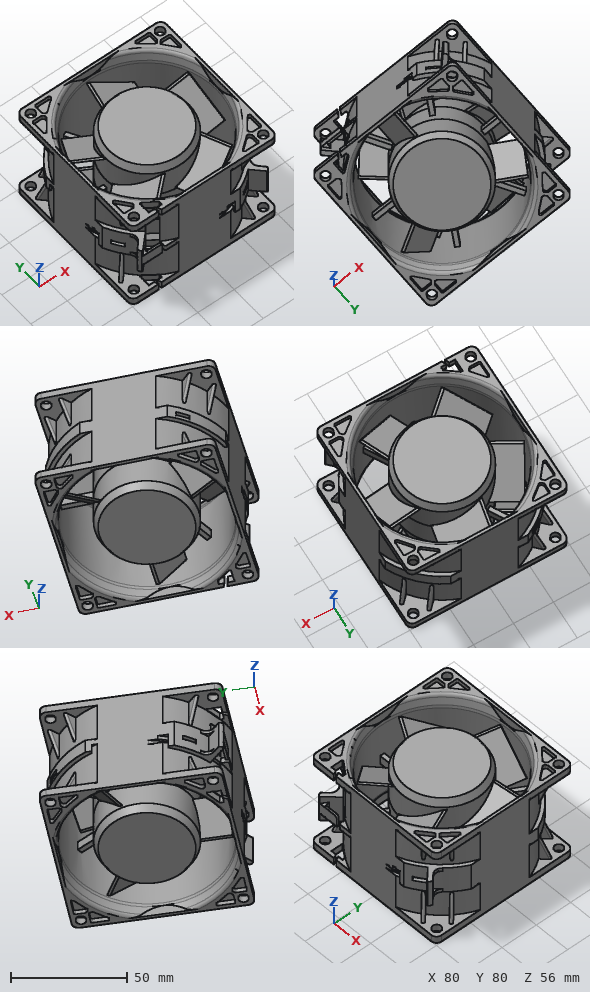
import cadquery as cq
import math


SIDE = 80.0
HEIGHT = 56.0
FLANGE = 4.0
CORNER_RADIUS = 3.1
HALF = SIDE / 2
TOP = HEIGHT / 2
FLANGE_Z = TOP - FLANGE
HOLE_OFFSET = 35.6
HOLE_DIAMETER = 4.6

BORE_RADIUS = 38.2
MOUTH_RADIUS = 41.6
THROAT_RADIUS = 39.5
THROAT_Z = 26.4
CONE_END_RADIUS = 38.4
CONE_END_Z = 22.8
BORE_END_Z = 21.2
DUCT_HALF_WIDTH = 38.4
WALL_RADIUS = 42.5

BAND_RADIUS = 44.5
WIDE_BAND_Z = (-7.4, 7.4)
NARROW_BAND_Z = (-4.2, 3.2)
JOINT_Z = -0.1
RECESS_END = 16.7
UPPER_RECESS_RADIUS = 41.8
LOWER_RECESS_RADIUS = 40.8
RECESS_STEP_Z = -2.2
RECESS_BOTTOM_Z = -4.6
RECESS_START = 4.0
TONGUE_END = 16.8
SLOT_WIDTH = 6.3
SLOT_DEPTH = 2.3
SLOT_Z = (RECESS_STEP_Z, JOINT_Z)
SLOT_TURN = 10.0

RIB_THICKNESS = 1.8
RIB_OFFSET = 6.1
RIB_REACH = 46.6
RIB_FOOT = 40.6
RIB_END_Z = 8.5

POCKET_DEPTH = 2.4
POCKET_ROUND = 0.6

STRUT_COUNT = 6
STRUT_WIDTH = 2.4
STRUT_HEIGHT = 4.8
STRUT_EMBED = 0.8
MOTOR_HEIGHT = 15.2

HUB_RADIUS = 23.0
HUB_TOP = 26.6
HUB_CHAMFER_RADIAL = 2.0
HUB_CHAMFER_AXIAL = 3.8
BLADE_TOP = 21.4
BLADE_BOTTOM = 8.7
BLADE_EDGE = 1.4
BLADE_ROOT = 16.0


def box_between(x, y, z):
    """Box spanning the (low, high) pairs x, y and z."""
    return (
        cq.Workplane("XY", origin=(0, 0, z[0]))
        .moveTo((x[0] + x[1]) / 2, (y[0] + y[1]) / 2)
        .rect(x[1] - x[0], y[1] - y[0])
        .extrude(z[1] - z[0])
    )


def cylinder_between(radius, z):
    return cq.Workplane("XY", origin=(0, 0, z[0])).circle(radius).extrude(z[1] - z[0])


def turned(shape, degrees):
    return shape.rotate((0, 0, 0), (0, 0, 1), degrees)


def with_mirror(shape):
    """The shape together with its mirror image below the mid-plane."""
    return shape.union(shape.mirror("XY"))


def flange():
    plate = box_between((-HALF, HALF), (-HALF, HALF), (FLANGE_Z, TOP)).edges("|Z").fillet(CORNER_RADIUS)
    holes = (
        cq.Workplane("XY", origin=(0, 0, FLANGE_Z))
        .rect(2 * HOLE_OFFSET, 2 * HOLE_OFFSET, forConstruction=True)
        .vertices()
        .circle(HOLE_DIAMETER / 2)
        .extrude(FLANGE)
    )
    return plate.cut(holes)


def square_column(radius, z):
    """Round column trimmed to the square outline of the frame."""
    return cylinder_between(radius, z).intersect(box_between((-HALF, HALF), (-HALF, HALF), z))


def corner_band(x_sign, y_sign, z):
    quarter = box_between(sorted((0, x_sign * HALF)), sorted((0, y_sign * HALF)), z)
    return cylinder_between(BAND_RADIUS, z).intersect(quarter)


def duct():
    """Bore with a rounded bell mouth at each end, trimmed by the side flats."""
    lip_bulge = math.sqrt(0.5)
    lip_middle = (
        MOUTH_RADIUS - lip_bulge * (MOUTH_RADIUS - THROAT_RADIUS),
        THROAT_Z + lip_bulge * (TOP - THROAT_Z),
    )
    upper_half = (
        cq.Workplane("XZ")
        .moveTo(0, 0)
        .lineTo(BORE_RADIUS, 0)
        .lineTo(BORE_RADIUS, BORE_END_Z)
        .lineTo(CONE_END_RADIUS, CONE_END_Z)
        .lineTo(THROAT_RADIUS, THROAT_Z)
        .threePointArc(lip_middle, (MOUTH_RADIUS, TOP))
        .lineTo(0, TOP)
        .close()
        .revolve(360, (0, 0, 0), (0, 1, 0))
    )
    flats = (-DUCT_HALF_WIDTH, DUCT_HALF_WIDTH)
    return with_mirror(upper_half).intersect(box_between(flats, flats, (-TOP, TOP)))


def ribs(corner_angle, sides):
    """Wedge ribs parallel to a corner diagonal, under the upper and over the lower flange."""
    wedge = (
        cq.Workplane("XZ", origin=(0, RIB_THICKNESS / 2, 0))
        .polyline([
            (BORE_RADIUS, FLANGE_Z),
            (RIB_REACH, FLANGE_Z),
            (RIB_FOOT, RIB_END_Z),
            (BORE_RADIUS, RIB_END_Z),
        ])
        .close()
        .extrude(RIB_THICKNESS)
    )
    foot = cq.Vector(RIB_FOOT, 0, RIB_END_Z)
    slope = cq.Vector(RIB_REACH, 0, FLANGE_Z) - foot
    length = slope.Length + RIB_THICKNESS / 2
    rod = cq.Workplane(cq.Solid.makeCylinder(RIB_THICKNESS / 2, length, foot, slope))
    rib = wedge.union(rod)
    placed = [turned(with_mirror(rib).translate((0, side * RIB_OFFSET, 0)), corner_angle) for side in sides]
    joined = placed[0]
    for other in placed[1:]:
        joined = joined.union(other)
    return joined


def flange_pocket():
    """Blind pocket in the upper flange, beside the +X +Y mounting hole."""
    outline = [(31.7, 37.9), (23.4, 37.9), (23.4, 36.6), (29.6, 31.7), (30.7, 31.7), (31.7, 32.8)]
    return (
        cq.Workplane("XY", origin=(0, 0, TOP - POCKET_DEPTH))
        .polyline(outline)
        .close()
        .extrude(POCKET_DEPTH)
        .edges("|Z")
        .fillet(POCKET_ROUND)
    )


def snap_recess():
    """Two-step recess in the -Y side, next to the +X -Y corner band."""
    span = (RECESS_START, RECESS_END)
    depth = (-SIDE, 0)
    upper_z = (RECESS_STEP_Z, JOINT_Z)
    lower_z = (RECESS_BOTTOM_Z, RECESS_STEP_Z)
    foot_z = (WIDE_BAND_Z[0], RECESS_BOTTOM_Z)
    upper = box_between(span, depth, upper_z).cut(cylinder_between(UPPER_RECESS_RADIUS, upper_z))
    lower = box_between(span, depth, lower_z).cut(cylinder_between(LOWER_RECESS_RADIUS, lower_z))
    foot = box_between(span, depth, foot_z).cut(cylinder_between(WALL_RADIUS, foot_z))
    return upper.union(lower).union(foot)


def band_slot(angle):
    """Radial slot in a corner band."""
    slot = box_between((BAND_RADIUS - SLOT_DEPTH, SIDE), (-SLOT_WIDTH / 2, SLOT_WIDTH / 2), SLOT_Z)
    return turned(slot, angle)


ARM_OUTER_SHIFT = 2.4
ARM_INNER_SHIFT = 5.8
ARM_ROOT_Y = -29.6
ARM_TIP_FLAT = 0.5
ARM_TIP_BULGE = 0.2
ARM_TIP_Y = -38.1


def latch_arm():
    tip_x = ARM_INNER_SHIFT - HALF
    outer_tip_x = ARM_TIP_Y + ARM_OUTER_SHIFT
    return (
        cq.Workplane("XY", origin=(0, 0, WIDE_BAND_Z[0]))
        .moveTo(ARM_ROOT_Y + ARM_OUTER_SHIFT, ARM_ROOT_Y)
        .lineTo(outer_tip_x, ARM_TIP_Y)
        .threePointArc((outer_tip_x + ARM_TIP_BULGE, (ARM_TIP_Y - HALF) / 2), (tip_x - ARM_TIP_FLAT, -HALF))
        .lineTo(tip_x, -HALF)
        .lineTo(ARM_ROOT_Y + ARM_INNER_SHIFT, ARM_ROOT_Y)
        .close()
        .extrude(WIDE_BAND_Z[1] - WIDE_BAND_Z[0])
    )


GUSSET_LEG = 4.0
GUSSET_HEIGHT = 1.9
GUSSET_OVERLAP = 1.6


def arm_gussets():
    """Concave gussets between the band and the outer face of the latch arm, at its two ends."""
    diagonal_shift = ARM_OUTER_SHIFT / math.sqrt(2)
    along = math.sqrt(BAND_RADIUS**2 - diagonal_shift**2)
    reach = along + GUSSET_LEG
    arc_offset = GUSSET_LEG * (1 - math.sqrt(0.5))
    upper = (
        cq.Workplane("XY", origin=(0, 0, WIDE_BAND_Z[1] - GUSSET_HEIGHT))
        .moveTo(along - GUSSET_OVERLAP, GUSSET_OVERLAP)
        .lineTo(reach, GUSSET_OVERLAP)
        .lineTo(reach, 0)
        .threePointArc((along + arc_offset, -arc_offset), (along, -GUSSET_LEG))
        .lineTo(along - GUSSET_OVERLAP, -GUSSET_LEG)
        .close()
        .extrude(GUSSET_HEIGHT)
        .translate((0, diagonal_shift, 0))
    )
    return turned(with_mirror(upper), -135)


CLIP_END_X = -23.4
CLIP_THICKNESS = 1.2
CLIP_HALF_HEIGHT = 3.1
CLIP_ROUND = 1.6
WEDGE_LENGTH = 2.9
WEDGE_RISE = 1.0
WEDGE_BACK_Y = -37.0
STUB_START_X = -21.9
STUB_END_X = -12.0
STUB_ROUND = 0.9
STUB_DEPTH = 4.8


def cable_clip():
    """Flat clip along the -Y side, carried by the latch arm, with one rounded free corner."""
    plate = box_between(
        (ARM_INNER_SHIFT - ARM_TIP_FLAT - HALF, CLIP_END_X),
        (-HALF, CLIP_THICKNESS - HALF),
        (-CLIP_HALF_HEIGHT, CLIP_HALF_HEIGHT),
    )
    return plate.edges("|Y and >X and >Z").fillet(CLIP_ROUND)


def clip_wedges():
    """Small sloped ledges where the clip meets the inner face of the latch arm."""
    upper = (
        cq.Workplane("YZ", origin=(ARM_INNER_SHIFT - HALF, 0, 0))
        .polyline([
            (-HALF, 0),
            (-HALF, CLIP_HALF_HEIGHT),
            (WEDGE_BACK_Y, CLIP_HALF_HEIGHT + WEDGE_RISE),
            (WEDGE_BACK_Y, 0),
        ])
        .close()
        .extrude(WEDGE_LENGTH)
    )
    return with_mirror(upper)


def cable_stub():
    """Short tongue facing the end of the clip."""
    stub = box_between((STUB_START_X, STUB_END_X), (-HALF, STUB_DEPTH - HALF), (-CLIP_HALF_HEIGHT, JOINT_Z))
    return stub.edges("|Z and <X and <Y").fillet(STUB_ROUND)


WINDOW_ANGLE = -125.2
WINDOW_WIDTH = 6.1
WINDOW_BACK = 40.3
WINDOW_FRONT = 42.4
WINDOW_TOP_Z = 17.0
WINDOW_BACK_TOP_Z = 13.0
WINDOW_SILL_Z = 1.1
WINDOW_BOTTOM_Z = -5.1


def cable_windows():
    """Upper window with a sloped roof and sill, and a small lower one, in the wall behind the clip."""
    half_width = WINDOW_WIDTH / 2
    upper = (
        cq.Workplane("XZ", origin=(0, half_width, 0))
        .polyline([
            (WINDOW_BACK, CLIP_HALF_HEIGHT),
            (WINDOW_BACK, WINDOW_BACK_TOP_Z),
            (WINDOW_FRONT, WINDOW_TOP_Z),
            (BAND_RADIUS, WINDOW_TOP_Z),
            (BAND_RADIUS, WINDOW_SILL_Z),
            (WINDOW_FRONT, WINDOW_SILL_Z),
        ])
        .close()
        .extrude(WINDOW_WIDTH)
    )
    lower_z = (WINDOW_BOTTOM_Z, -CLIP_HALF_HEIGHT)
    lower = box_between((WINDOW_BACK, BAND_RADIUS), (-half_width, half_width), lower_z)
    return turned(upper.union(lower), WINDOW_ANGLE)


CABLE_QUARTER = 2
CABLE_SLIT_X = -25.3
CABLE_SLIT_WIDTH = 1.5
CABLE_SLIT_SLANT = 1.0


def cable_opening():
    """Opening through both flanges for the cable, with a slanted slit to the -Y side."""
    outline = [(-29.1, -37.8), (-29.1, -31.6), (-28.2, -31.6), (-22.1, -36.1), (-22.1, -37.8)]
    inner_y = outline[0][1]
    slit = [
        (CABLE_SLIT_X, -HALF),
        (CABLE_SLIT_X + CABLE_SLIT_WIDTH, -HALF),
        (CABLE_SLIT_X + CABLE_SLIT_WIDTH - CABLE_SLIT_SLANT, inner_y),
        (CABLE_SLIT_X - CABLE_SLIT_SLANT, inner_y),
    ]
    base = cq.Workplane("XY", origin=(0, 0, FLANGE_Z))
    opening = base.polyline(outline).close().extrude(FLANGE)
    return with_mirror(opening.union(base.polyline(slit).close().extrude(FLANGE)))


def motor_support():
    motor = cylinder_between(HUB_RADIUS, (-MOTOR_HEIGHT / 2, MOTOR_HEIGHT / 2))
    strut = box_between(
        (0, BORE_RADIUS + STRUT_EMBED),
        (-STRUT_WIDTH / 2, STRUT_WIDTH / 2),
        (-STRUT_HEIGHT / 2, STRUT_HEIGHT / 2),
    )
    for i in range(STRUT_COUNT):
        motor = motor.union(turned(strut, i * 360 / STRUT_COUNT))
    return motor


def build_frame():
    body = square_column(WALL_RADIUS, (-FLANGE_Z, FLANGE_Z)).union(with_mirror(flange()))

    trim_z = (NARROW_BAND_Z[0], JOINT_Z)
    trim = box_between((-SIDE, 0), (0, TONGUE_END), trim_z)
    body = body.union(corner_band(-1, 1, NARROW_BAND_Z).cut(trim)).union(corner_band(1, 1, NARROW_BAND_Z))

    arm_run = (
        cq.Workplane("XY", origin=(0, 0, WIDE_BAND_Z[0]))
        .polyline([(ARM_INNER_SHIFT, 0), (ARM_INNER_SHIFT - SIDE, -SIDE), (ARM_INNER_SHIFT, -SIDE)])
        .close()
        .extrude(WIDE_BAND_Z[1] - WIDE_BAND_Z[0])
    )
    body = body.union(corner_band(1, -1, WIDE_BAND_Z))
    body = body.union(corner_band(-1, -1, WIDE_BAND_Z).cut(arm_run))

    for corner_angle, sides in ((45, (-1, 1)), (135, (-1, 1)), (-45, (-1, 1)), (-135, (-1,))):
        body = body.union(ribs(corner_angle, sides))

    arm = latch_arm()
    gussets = arm_gussets()
    for feature in (arm, arm.mirror("YZ"), gussets, gussets.mirror("YZ"), cable_clip()):
        body = body.union(feature)
    body = body.union(clip_wedges()).union(cable_stub())

    recess = snap_recess()
    body = body.cut(recess).cut(turned(recess, -90))
    for corner_angle in (-45, 135, -135):
        body = body.cut(band_slot(corner_angle - SLOT_TURN))

    pocket = flange_pocket()
    twin = pocket.mirror("YZ")
    for quarter in range(4):
        body = body.cut(with_mirror(turned(twin, 90 * quarter)))
        if quarter != CABLE_QUARTER:
            body = body.cut(with_mirror(turned(pocket, 90 * quarter)))

    body = body.cut(cable_windows()).cut(cable_opening()).cut(duct())
    return body.union(motor_support())


def build_impeller(blade_count, first_angle, high_side, low_side, tip):
    """Impeller above the motor; each blade slopes from high_side to low_side of its radial line."""
    hub = (
        cylinder_between(HUB_RADIUS, (MOTOR_HEIGHT / 2, HUB_TOP))
        .faces(">Z")
        .chamfer(HUB_CHAMFER_AXIAL, HUB_CHAMFER_RADIAL)
    )
    inward = math.copysign(BLADE_EDGE, low_side - high_side)
    blade = (
        cq.Workplane("YZ", origin=(BLADE_ROOT, 0, 0))
        .polyline([
            (high_side, BLADE_TOP),
            (high_side + inward, BLADE_TOP),
            (low_side, BLADE_BOTTOM),
            (low_side - inward, BLADE_BOTTOM),
        ])
        .close()
        .extrude(tip - BLADE_ROOT)
    )
    for i in range(blade_count):
        hub = hub.union(turned(blade, first_angle + i * 360 / blade_count))
    return hub


frame = build_frame()
upper_impeller = build_impeller(blade_count=5, first_angle=6.0, high_side=11.3, low_side=-11.8, tip=35.6)
lower_impeller = build_impeller(blade_count=3, first_angle=30.0, high_side=5.3, low_side=-8.2, tip=36.8)
lower_impeller = lower_impeller.mirror("XY")

result = cq.Compound.makeCompound([frame.val(), upper_impeller.val(), lower_impeller.val()])